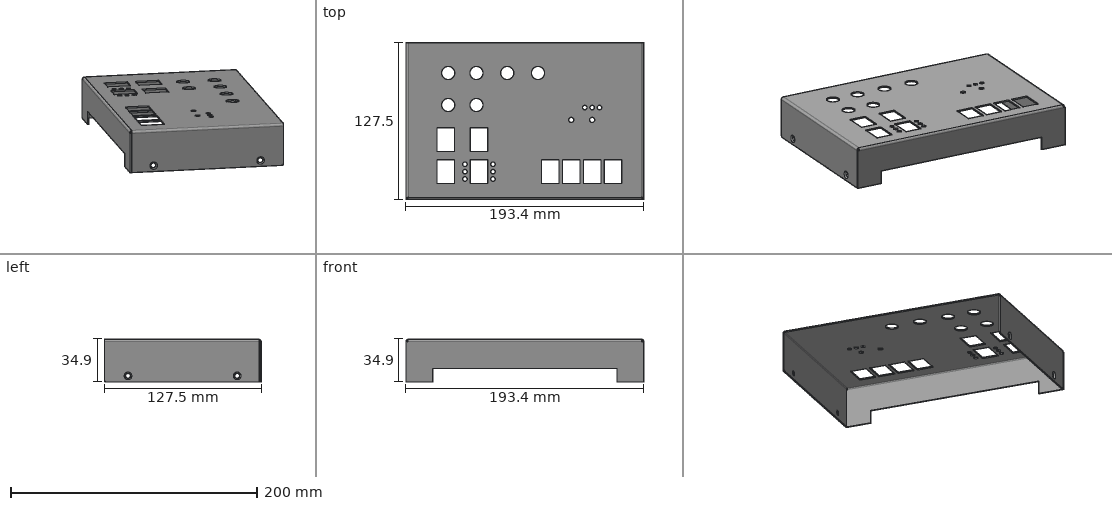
import cadquery as cq

WIDTH = 193.4
DEPTH = 127.5
HEIGHT = 34.9

SHEET = 1.2
BEND_OUTER = 2.0
BEND_INNER = BEND_OUTER - SHEET
BEND_RELIEF = 1.6
CORNER_GAP = 0.5
SIDE_FRONT_Y = SHEET + CORNER_GAP
REAR_CORNER_RADIUS = 1.5

FOOT_WIDTH = 22.0
NOTCH_HEIGHT = 10.9

SCREW_HEAD_DIAMETER = 6.2
SCREW_DIAMETER = SCREW_HEAD_DIAMETER - 2 * SHEET
SCREW_Z = 5.1
SCREW_YS = (19.6, 108.3)

LOWER_SWITCH_Y = 22.75
ROW_PITCH = 26.0
UPPER_SWITCH_Y = LOWER_SWITCH_Y + ROW_PITCH
LOWER_KNOB_Y = 76.9
UPPER_KNOB_Y = LOWER_KNOB_Y + ROW_PITCH

SWITCH_WIDTH = 14.0
SWITCH_LENGTH = 19.2
LEFT_SWITCH_XS = (32.4, 59.4)
KEY_PITCH = 17.0
KEY_COUNT = 4
FIRST_KEY_X = 117.4

KNOB_DIAMETER = 10.5
LOWER_KNOB_XS = (34.4, 57.4)
UPPER_KNOB_XS = LOWER_KNOB_XS + (82.4, 107.4)

LAMP_DIAMETER = 3.5
LAMP_PITCH = 6.0
LAMP_COLUMN_OFFSET = 11.4
LAMP_ROW_X = FIRST_KEY_X + 2 * KEY_PITCH
LAMP_ROW_Y = 74.8

BUTTON_DIAMETER = 4.0
BUTTON_Y = 64.8
BUTTON_XS = (FIRST_KEY_X + KEY_PITCH, LAMP_ROW_X)


def lamp_row(centre):
    """Three evenly spaced lamp positions around a centre."""
    return [centre - LAMP_PITCH, centre, centre + LAMP_PITCH]


def make_top_and_sides():
    """U-shaped channel: top panel with a flange folded down on each side."""
    length = DEPTH - SIDE_FRONT_Y
    outer = (
        cq.Workplane("XY")
        .box(WIDTH, length, HEIGHT, centered=False)
        .edges("|Y and >Z")
        .fillet(BEND_OUTER)
    )
    inner = (
        cq.Workplane("XY")
        .box(WIDTH - 2 * SHEET, length, HEIGHT - SHEET, centered=False)
        .edges("|Y and >Z")
        .fillet(BEND_INNER)
        .translate((SHEET, 0, 0))
    )
    channel = outer.cut(inner).translate((0, SIDE_FRONT_Y, 0))
    return channel.edges("|X and >Y and <Z").fillet(REAR_CORNER_RADIUS)


def make_front_bend():
    """Quarter-round bend joining the top to the front flange."""
    top_z = HEIGHT - BEND_OUTER
    return (
        cq.Workplane("YZ")
        .moveTo(0, top_z)
        .radiusArc((BEND_OUTER, HEIGHT), BEND_OUTER)
        .lineTo(BEND_OUTER, HEIGHT - SHEET)
        .radiusArc((SHEET, top_z), -BEND_INNER)
        .close()
        .extrude(WIDTH - 2 * BEND_RELIEF)
        .translate((BEND_RELIEF, 0, 0))
    )


def make_front_flange():
    """Full-width front flange, notched between two feet."""
    flange = cq.Workplane("XY").box(WIDTH, SHEET, HEIGHT - BEND_OUTER, centered=False)
    notch = (
        cq.Workplane("XY")
        .box(WIDTH - 2 * FOOT_WIDTH, SHEET, NOTCH_HEIGHT, centered=False)
        .translate((FOOT_WIDTH, 0, 0))
    )
    return flange.cut(notch)


def panel_tool(points):
    """Workplane just under the top panel with the given centres selected."""
    return cq.Workplane("XY", origin=(0, 0, HEIGHT - SHEET)).pushPoints(points)


def make_switch_cutter():
    points = [(x, y) for x in LEFT_SWITCH_XS for y in (LOWER_SWITCH_Y, UPPER_SWITCH_Y)]
    points += [(FIRST_KEY_X + i * KEY_PITCH, LOWER_SWITCH_Y) for i in range(KEY_COUNT)]
    return panel_tool(points).rect(SWITCH_WIDTH, SWITCH_LENGTH).extrude(SHEET)


def make_round_cutter(points, diameter):
    return panel_tool(points).circle(diameter / 2).extrude(SHEET)


def lamp_points():
    """Lamp columns either side of one switch, and the separate lamp row."""
    switch_x = LEFT_SWITCH_XS[1]
    columns = (switch_x - LAMP_COLUMN_OFFSET, switch_x + LAMP_COLUMN_OFFSET)
    points = [(x, y) for x in columns for y in lamp_row(LOWER_SWITCH_Y)]
    return points + [(x, LAMP_ROW_Y) for x in lamp_row(LAMP_ROW_X)]


def make_screw_cutter():
    """45-degree cones through both side flanges, widest at the outer faces."""
    cutter = cq.Workplane("XY")
    for y in SCREW_YS:
        for x, inward in ((0, 1), (WIDTH, -1)):
            cone = cq.Solid.makeCone(
                SCREW_HEAD_DIAMETER / 2,
                SCREW_DIAMETER / 2,
                SHEET,
                pnt=cq.Vector(x, y, SCREW_Z),
                dir=cq.Vector(inward, 0, 0),
            )
            cutter = cutter.add(cone)
    return cutter.combine()


knob_points = [(x, LOWER_KNOB_Y) for x in LOWER_KNOB_XS]
knob_points += [(x, UPPER_KNOB_Y) for x in UPPER_KNOB_XS]

cover = make_top_and_sides().union(make_front_bend()).union(make_front_flange())
cover = cover.cut(make_switch_cutter())
cover = cover.cut(make_round_cutter(knob_points, KNOB_DIAMETER))
cover = cover.cut(make_round_cutter(lamp_points(), LAMP_DIAMETER))
cover = cover.cut(make_round_cutter([(x, BUTTON_Y) for x in BUTTON_XS], BUTTON_DIAMETER))
result = cover.cut(make_screw_cutter())